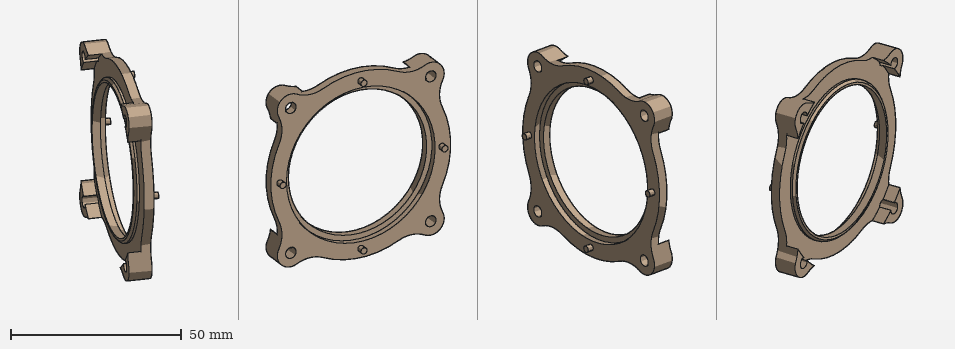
import cadquery as cq
import math

outer_radius = 29.95
bore_radius = 46.0 / 2
plate_thickness = 3.0

lip_radius = 49.0 / 2
lip_height = 1.5
lip_chamfer = lip_height / 2

counterbore_clearance = 0.25
counterbore_radius = lip_radius + counterbore_clearance
counterbore_depth = 2.0

lug_offset = 23.3
lug_radius = 4.5
lug_hole_diameter = 3.5
lug_height = 4.0
lug_seat_radius = 31.75
blend_radius = 10.0

pin_diameter = 2.0
pin_length = 2.0
pin_circle_radius = 26.95
pin_count = 4

lug_distance = math.hypot(lug_offset, lug_offset)
lug_angles = [45, 135, 225, 315]


def polar(radius, degrees):
    angle = math.radians(degrees)
    return radius * math.cos(angle), radius * math.sin(angle)


def blend_angle():
    """Angle at the ring centre between a lug and its blend arc centre."""
    to_blend = outer_radius + blend_radius
    lug_to_blend = lug_radius + blend_radius
    cosine = (to_blend**2 + lug_distance**2 - lug_to_blend**2) / (2 * to_blend * lug_distance)
    return math.degrees(math.acos(cosine))


def between(start, end, fraction):
    return tuple(a + (b - a) * fraction for a, b in zip(start, end))


def blend_points(lug_angle, side):
    """Tangent point on the ring, middle of the blend arc and tangent point on the lug."""
    center_angle = lug_angle + side * blend_angle()
    center = polar(outer_radius + blend_radius, center_angle)
    lug_center = polar(lug_distance, lug_angle)
    on_ring = polar(outer_radius, center_angle)
    on_lug = between(lug_center, center, lug_radius / (lug_radius + blend_radius))
    chord_middle = between(on_ring, on_lug, 0.5)
    middle = between(center, chord_middle, blend_radius / math.dist(center, chord_middle))
    return on_ring, middle, on_lug


def outline():
    """Closed outline of ring and lugs, followed counterclockwise."""
    start = blend_points(lug_angles[0], -1)[0]
    sketch = cq.Workplane("XZ").moveTo(*start)
    for angle in lug_angles:
        ring_in, blend_in, lug_in = blend_points(angle, -1)
        ring_out, blend_out, lug_out = blend_points(angle, 1)
        next_ring = blend_points(angle + 90, -1)[0]
        sketch = sketch.threePointArc(blend_in, lug_in)
        sketch = sketch.threePointArc(polar(lug_distance + lug_radius, angle), lug_out)
        sketch = sketch.threePointArc(blend_out, ring_out)
        sketch = sketch.threePointArc(polar(outer_radius, angle + 45), next_ring)
    return sketch.close()


def make_plate():
    return outline().extrude(-plate_thickness)


def make_lugs():
    """Front parts of the lugs, cut back to a cylinder around the ring axis."""
    seat = cq.Workplane("XZ").circle(lug_seat_radius).extrude(lug_height)
    return outline().extrude(lug_height).cut(seat)


def make_lip():
    lip = cq.Workplane("XZ").circle(lip_radius).extrude(lip_height)
    return lip.faces("<Y").chamfer(lip_chamfer)


def make_pins():
    return (
        cq.Workplane("XZ", origin=(0, plate_thickness, 0))
        .polarArray(pin_circle_radius, 0, 360, pin_count)
        .circle(pin_diameter / 2)
        .extrude(-pin_length)
    )


def through_cutter(sketch):
    return sketch.extrude(plate_thickness + lug_height, both=True)


bore = through_cutter(cq.Workplane("XZ").circle(bore_radius))
counterbore = (
    cq.Workplane("XZ", origin=(0, plate_thickness, 0))
    .circle(counterbore_radius)
    .extrude(counterbore_depth)
)
lug_holes = through_cutter(
    cq.Workplane("XZ")
    .polarArray(lug_distance, lug_angles[0], 360, len(lug_angles))
    .circle(lug_hole_diameter / 2)
)

body = make_plate().union(make_lugs()).union(make_lip())
result = body.cut(bore).cut(counterbore).cut(lug_holes).union(make_pins())